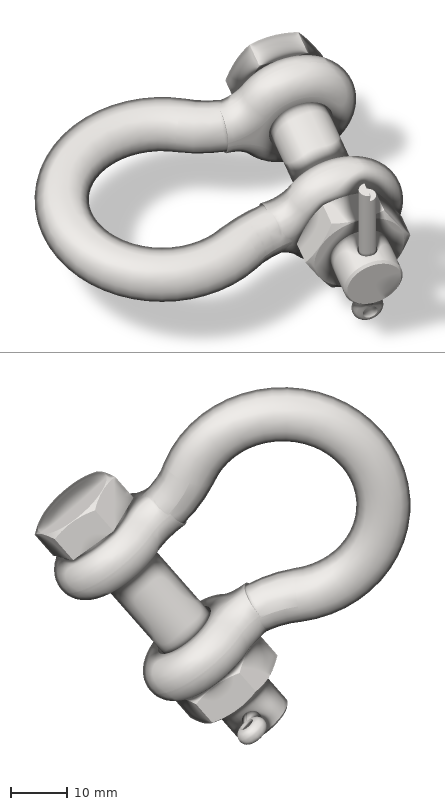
import cadquery as cq
import math


CROWN_CENTRE_Y = -29.1
CROWN_RADIUS = 17.9
CROWN_BAR_RADIUS = 4.8
CROWN_END_DEGREES = 30
EYE_X = 12.7
EYE_RADIUS = 11.7
EYE_HALF_WIDTH = 4.4
EYE_RIM_ROUNDING = 4.3
EYE_HOLE_DIAMETER = 12.05
EYE_FILLET_RADIUS = 5.45
NECK_HALF_WIDTH = 4.3
NECK_STEPS = 4
CROWN_END_ANGLE = math.radians(CROWN_END_DEGREES)
CROWN_END_X = CROWN_RADIUS * math.cos(CROWN_END_ANGLE)
CROWN_END_Y = CROWN_CENTRE_Y + CROWN_RADIUS * math.sin(CROWN_END_ANGLE)
NECK_BEND_RADIUS = (CROWN_END_X - EYE_X) / (1 - math.cos(CROWN_END_ANGLE))
NECK_END_Y = CROWN_END_Y + NECK_BEND_RADIUS * math.sin(CROWN_END_ANGLE)

BOLT_DIAMETER = 11.05
BOLT_END_X = 31.4
BOLT_END_CHAMFER = 0.45
HEAD_ACROSS_FLATS = 15.9
HEAD_THICKNESS = 6.05
COLLAR_DIAMETER = 15.35
COLLAR_THICKNESS = 0.65
NUT_ACROSS_FLATS = 17.15
NUT_THICKNESS = 6.3
HEX_CHAMFER_ANGLE = 30
HEX_FACE_MARGIN = 0.2
EYE_OUTER_X = EYE_X + EYE_HALF_WIDTH
COLLAR_X = -EYE_OUTER_X - COLLAR_THICKNESS
HEAD_X = COLLAR_X - HEAD_THICKNESS

PIN_X = 27.7
PIN_RADIUS = 1.5
PIN_LEG_GAP = 0.05
PIN_HOLE_DIAMETER = 3.55
LONG_LEG_TOP_Z = 21.45
SHORT_LEG_TOP_Z = 19.95
PIN_LOOP_RADIUS = 2.9
PIN_BOTTOM_Z = -12.8
PIN_LOOP_Z = PIN_BOTTOM_Z + PIN_LOOP_RADIUS


def x_cylinder(diameter, start_x, end_x):
    """Cylinder on the bolt axis."""
    return cq.Workplane("YZ", origin=(start_x, 0, 0)).circle(diameter / 2).extrude(end_x - start_x)


def bar_plane(x, y, angle):
    """Plane square to the bow's bar at a point, its x direction turned by angle from X."""
    across = (math.cos(angle), math.sin(angle), 0)
    along = (-math.sin(angle), math.cos(angle), 0)
    return cq.Plane(origin=(x, y, 0), xDir=across, normal=along)


def make_crown():
    """Round lower part of the bow: a bar turned about the crown centre."""
    return (
        cq.Workplane(bar_plane(CROWN_END_X, CROWN_END_Y, CROWN_END_ANGLE))
        .circle(CROWN_BAR_RADIUS)
        .revolve(
            180 + 2 * CROWN_END_DEGREES,
            (-CROWN_RADIUS, 0, 0),
            (-CROWN_RADIUS, 1, 0),
        )
    )


def neck_section(fraction):
    """Outline across the neck, at a fraction of the way from the crown to the eye."""
    angle = (1 - fraction) * CROWN_END_ANGLE
    x = EYE_X + NECK_BEND_RADIUS * (1 - math.cos(angle))
    y = NECK_END_Y - NECK_BEND_RADIUS * math.sin(angle)
    half_width = CROWN_BAR_RADIUS + fraction * (NECK_HALF_WIDTH - CROWN_BAR_RADIUS)
    return cq.Workplane(bar_plane(x, y, angle)).ellipse(half_width, CROWN_BAR_RADIUS).wire().val()


def make_neck():
    """Bar from the +X end of the crown, curving back to run straight into the eye."""
    sections = [neck_section(step / NECK_STEPS) for step in range(NECK_STEPS + 1)]
    bend = cq.Workplane(cq.Solid.makeLoft(sections))
    straight_end_y = -(EYE_RADIUS - EYE_HALF_WIDTH)
    straight = (
        cq.Workplane(bar_plane(EYE_X, NECK_END_Y, 0))
        .ellipse(NECK_HALF_WIDTH, CROWN_BAR_RADIUS)
        .extrude(straight_end_y - NECK_END_Y)
    )
    return bend.union(straight)


def make_eye():
    """Flat-sided eye with a rounded rim that blends by concave arcs into a short stub of the bar."""
    blend_centre_z = CROWN_BAR_RADIUS + EYE_FILLET_RADIUS
    centre_distance = EYE_RADIUS + EYE_FILLET_RADIUS
    stub_end_y = -math.sqrt(centre_distance**2 - blend_centre_z**2)
    tangent_y = stub_end_y * EYE_RADIUS / centre_distance
    tangent_z = blend_centre_z * EYE_RADIUS / centre_distance
    half_sweep = math.acos(blend_centre_z / centre_distance) / 2
    middle_y = stub_end_y + EYE_FILLET_RADIUS * math.sin(half_sweep)
    middle_z = blend_centre_z - EYE_FILLET_RADIUS * math.cos(half_sweep)
    plate = (
        cq.Workplane("YZ", origin=(EYE_X - EYE_HALF_WIDTH, 0, 0))
        .moveTo(stub_end_y, CROWN_BAR_RADIUS)
        .threePointArc((middle_y, middle_z), (tangent_y, tangent_z))
        .threePointArc((EYE_RADIUS, 0), (tangent_y, -tangent_z))
        .threePointArc((middle_y, -middle_z), (stub_end_y, -CROWN_BAR_RADIUS))
        .close()
        .extrude(2 * EYE_HALF_WIDTH)
    )
    return plate.faces("<X or >X").edges("not <Y").fillet(EYE_RIM_ROUNDING)


def make_bow():
    side = make_eye().union(make_neck())
    bow = make_crown().union(side).union(side.mirror("YZ"))
    return bow.cut(x_cylinder(EYE_HOLE_DIAMETER, -EYE_OUTER_X, EYE_OUTER_X))


def make_hexagon(across_flats, start_x, thickness, chamfered_faces):
    """Hexagon on the bolt axis, flats up and down, with the selected ends turned to a cone."""
    corner_diameter = across_flats / math.cos(math.radians(30))
    hexagon = (
        cq.Workplane("YZ", origin=(start_x, 0, 0))
        .polygon(6, corner_diameter)
        .extrude(thickness)
    )
    radial = (corner_diameter - across_flats + HEX_FACE_MARGIN) / 2
    depth = radial * math.tan(math.radians(HEX_CHAMFER_ANGLE))
    envelope = x_cylinder(corner_diameter, start_x, start_x + thickness)
    for face in chamfered_faces:
        rim = envelope.faces(face).edges()
        envelope = envelope.newObject(rim.vals()).chamfer(depth, radial)
    return hexagon.intersect(envelope)


def make_bolt():
    shank = x_cylinder(BOLT_DIAMETER, COLLAR_X, BOLT_END_X).faces(">X").chamfer(BOLT_END_CHAMFER)
    head = make_hexagon(HEAD_ACROSS_FLATS, HEAD_X, HEAD_THICKNESS, ["<X"])
    collar = x_cylinder(COLLAR_DIAMETER, COLLAR_X, -EYE_OUTER_X)
    nut = make_hexagon(NUT_ACROSS_FLATS, EYE_OUTER_X, NUT_THICKNESS, ["<X", ">X"])
    pin_hole = (
        cq.Workplane("XY", origin=(PIN_X, 0, -BOLT_DIAMETER))
        .circle(PIN_HOLE_DIAMETER / 2)
        .extrude(2 * BOLT_DIAMETER)
    )
    return shank.union(head).union(collar).union(nut).cut(pin_hole)


def make_leg(side, top_z):
    """Half-round leg with its flat facing the other leg; side is +1 or -1 along Y."""
    flat_y = side * PIN_LEG_GAP / 2
    return (
        cq.Workplane("XY", origin=(PIN_X, 0, PIN_LOOP_Z))
        .moveTo(-PIN_RADIUS, flat_y)
        .threePointArc((0, flat_y + side * PIN_RADIUS), (PIN_RADIUS, flat_y))
        .close()
        .extrude(top_z - PIN_LOOP_Z)
    )


def make_split_pin():
    loop_hole_radius = PIN_LOOP_RADIUS - PIN_RADIUS
    legs = make_leg(-1, LONG_LEG_TOP_Z).union(make_leg(1, SHORT_LEG_TOP_Z))
    loop_hole = (
        cq.Workplane("YZ", origin=(PIN_X - PIN_RADIUS, 0, PIN_LOOP_Z))
        .circle(loop_hole_radius)
        .extrude(2 * PIN_RADIUS)
    )
    loop = (
        cq.Workplane("XY", origin=(PIN_X, 0, PIN_LOOP_Z))
        .moveTo(-PIN_RADIUS, loop_hole_radius)
        .threePointArc((0, PIN_LOOP_RADIUS), (PIN_RADIUS, loop_hole_radius))
        .close()
        .revolve(360, (0, 0, 0), (1, 0, 0))
    )
    return legs.cut(loop_hole).union(loop)


bow = make_bow()
bolt = make_bolt()
split_pin = make_split_pin()

result = cq.Compound.makeCompound([part.solids().val() for part in (bow, bolt, split_pin)])